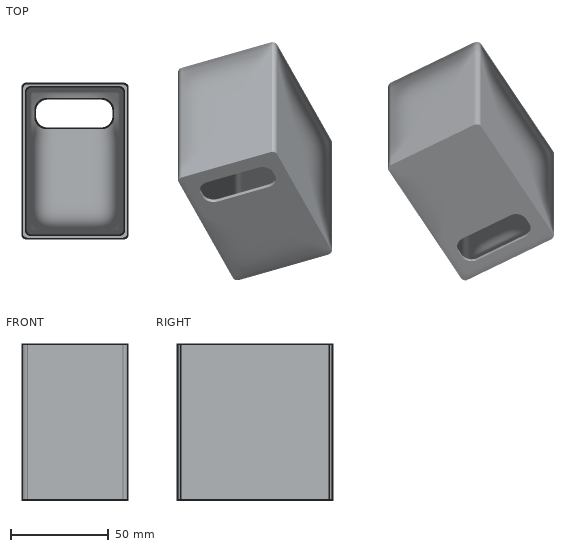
import cadquery as cq
import math

cavity_x = 50.8
cavity_y = 76.2
wall = 1.8
height = 80.0
floor_thickness = wall
corner_radius = 3.0

short_setback = wall
long_setback = math.sqrt(corner_radius**2 - (corner_radius - short_setback) ** 2)

slot_x = 40.0
slot_y = 15.0
slot_radius = 6.0
slot_gap_x = 5.0
slot_gap_y = 6.2


def rounded_block(size_x, size_y, size_z, radius):
    """Upright block resting on Z = 0 with rounded vertical edges."""
    block = cq.Workplane("XY").box(size_x, size_y, size_z, centered=(True, True, False))
    return block.edges("|Z").fillet(radius)


def outer_block():
    """Solid block with the outer outline, drawn counter-clockwise from the -Y face."""
    right = cavity_x / 2 + wall
    back = cavity_y / 2 + wall
    left = -right
    front = -back
    outline = (
        cq.Workplane("XY")
        .moveTo(left + long_setback, front)
        .lineTo(right - long_setback, front)
        .radiusArc((right, front + short_setback), -corner_radius)
        .lineTo(right, back - short_setback)
        .radiusArc((right - long_setback, back), -corner_radius)
        .lineTo(left + short_setback, back)
        .radiusArc((left, back - long_setback), -corner_radius)
        .lineTo(left, front + short_setback)
        .radiusArc((left + long_setback, front), -corner_radius)
        .close()
    )
    return outline.extrude(height)


def cavity():
    """Open-topped pocket that leaves the walls and the floor."""
    pocket = rounded_block(cavity_x, cavity_y, height - floor_thickness, corner_radius)
    return pocket.translate((0, 0, floor_thickness))


def floor_slot():
    """Rounded slot that passes through the floor."""
    center_x = -cavity_x / 2 + slot_gap_x + slot_x / 2
    center_y = cavity_y / 2 - slot_gap_y - slot_y / 2
    slot = rounded_block(slot_x, slot_y, floor_thickness, slot_radius)
    return slot.translate((center_x, center_y, 0))


result = outer_block().cut(cavity()).cut(floor_slot())